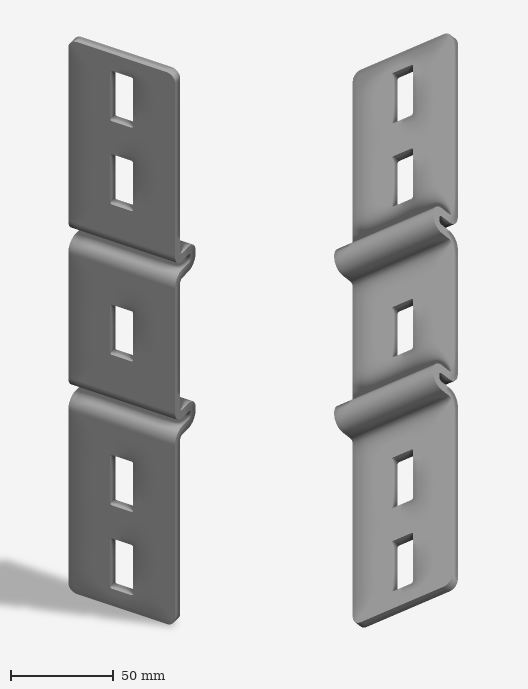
import cadquery as cq
import math

length = 330.0
width = 60.0
depth = 20.0
thickness = 5.0
corner_radius = 5.0

ridge_offset = 47.0
inner_radius = 2.0
outer_radius = inner_radius + thickness
crest_flat = 1.0

slot_width = 13.0
slot_length = 30.0
slot_corner_radius = 1.0
end_slot_margin = 10.2
slot_pitch = 49.8

front = -depth / 2
back = front + thickness
root_center_y = front + outer_radius
crest_center_y = depth / 2 - outer_radius

crest_center_z = crest_flat / 2
root_center_z = crest_center_z + inner_radius + outer_radius


def trace_ridge(outline, ridge_z, root_radius, crest_radius, direction):
    """Add one face of a ridge to a YZ outline that runs up (direction 1) or down (-1) in Z."""

    def point(y, z):
        return (y, ridge_z + direction * z)

    root_reach = root_radius * math.sqrt(0.5)
    crest_reach = crest_radius * math.sqrt(0.5)
    leg_z = root_center_z - root_radius
    crest_y = crest_center_y + crest_radius
    return (
        outline
        .lineTo(*point(root_center_y - root_radius, -root_center_z))
        .threePointArc(
            point(root_center_y - root_reach, -root_center_z + root_reach),
            point(root_center_y, -leg_z),
        )
        .lineTo(*point(crest_center_y, -leg_z))
        .threePointArc(
            point(crest_center_y + crest_reach, -crest_center_z - crest_reach),
            point(crest_y, -crest_center_z),
        )
        .lineTo(*point(crest_y, crest_center_z))
        .threePointArc(
            point(crest_center_y + crest_reach, crest_center_z + crest_reach),
            point(crest_center_y, leg_z),
        )
        .lineTo(*point(root_center_y, leg_z))
        .threePointArc(
            point(root_center_y - root_reach, root_center_z - root_reach),
            point(root_center_y - root_radius, root_center_z),
        )
    )


def bent_strip():
    """Side profile of the sheet, up the front face and down the back, extruded along X."""
    outline = cq.Workplane("YZ", origin=(-width / 2, 0, 0)).moveTo(front, -length / 2)
    for ridge_z in (-ridge_offset, ridge_offset):
        outline = trace_ridge(outline, ridge_z, outer_radius, inner_radius, 1)
    outline = outline.lineTo(front, length / 2).lineTo(back, length / 2)
    for ridge_z in (ridge_offset, -ridge_offset):
        outline = trace_ridge(outline, ridge_z, inner_radius, outer_radius, -1)
    return outline.lineTo(back, -length / 2).close().extrude(width)


def slots():
    """Round-cornered cutters for one slot in the middle panel and two in each outer panel."""
    end_slot_z = length / 2 - end_slot_margin - slot_length / 2
    inner_slot_z = end_slot_z - slot_pitch
    centers = [(0, z) for z in (-end_slot_z, -inner_slot_z, 0, inner_slot_z, end_slot_z)]
    return (
        cq.Workplane("XZ")
        .pushPoints(centers)
        .rect(slot_width, slot_length)
        .extrude(depth, both=True)
        .edges("|Y")
        .fillet(slot_corner_radius)
    )


strip = bent_strip().edges("|Y and (>Z or <Z)").fillet(corner_radius)
result = strip.cut(slots())